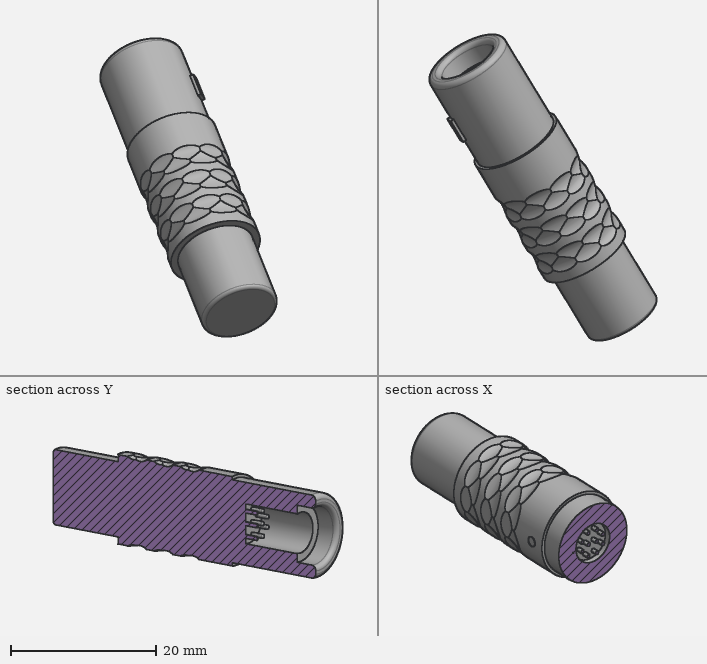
import cadquery as cq
import math

total_length = 45.0
barrel_radius = 6.0
barrel_length = 14.25
barrel_fillet = 0.75
sleeve_radius = 6.45
sleeve_end = 33.9
rear_radius = 5.45
rear_fillet = 0.5

bore_radius = 4.1
bore_fillet = 0.7
bore_depth = 3.2
socket_radius = 2.9
socket_depth = 12.0

pin_radius = 0.3
pin_height = 2.0
pin_tip_fillet = 0.25
pin_ring_count = 8
pin_ring_radius = 1.95
inner_pin_offset = 0.7

key_start = 6.1
key_length = 3.6
key_outer_radius = 6.475
key_angle = 22.5
key_width = 1.5

mark_center = 16.6
mark_radius = 0.73
mark_depth = 0.1

band_count = 3
band_pitch = 4.5
first_band_center = 21.65
row_spacing = 1.0
scallops_per_row = 10
scallop_radius = 2.0
scallop_depth = 0.42
scallop_cutter_length = 6.0


def axial_cylinder(radius, start, length, y=0.0, z=0.0):
    """Cylinder parallel to X, starting at X = start."""
    return cq.Workplane("YZ", origin=(start, y, z)).circle(radius).extrude(length)


def make_body():
    """Barrel, sleeve and rear end as one turned shape."""
    profile = (
        cq.Workplane("XY")
        .moveTo(0, 0)
        .lineTo(0, -(barrel_radius - barrel_fillet))
        .radiusArc((barrel_fillet, -barrel_radius), -barrel_fillet)
        .lineTo(barrel_length, -barrel_radius)
        .lineTo(barrel_length, -sleeve_radius)
        .lineTo(sleeve_end, -sleeve_radius)
        .lineTo(sleeve_end, -rear_radius)
        .lineTo(total_length - rear_fillet, -rear_radius)
        .radiusArc((total_length, -(rear_radius - rear_fillet)), -rear_fillet)
        .lineTo(total_length, 0)
        .close()
    )
    return profile.revolve(360, (0, 0, 0), (1, 0, 0))


def make_bore():
    """Stepped bore whose mouth flares out over a rounded lip."""
    profile = (
        cq.Workplane("XY")
        .moveTo(0, 0)
        .lineTo(0, -(bore_radius + bore_fillet))
        .radiusArc((bore_fillet, -bore_radius), bore_fillet)
        .lineTo(bore_depth, -bore_radius)
        .lineTo(bore_depth, -socket_radius)
        .lineTo(socket_depth, -socket_radius)
        .lineTo(socket_depth, 0)
        .close()
    )
    return profile.revolve(360, (0, 0, 0), (1, 0, 0))


def pin_positions():
    """(Y, Z) centres of the pin ring and of the two inner pins."""
    step = 2 * math.pi / pin_ring_count
    ring = []
    for index in range(pin_ring_count):
        angle = (index + 0.5) * step
        ring.append((pin_ring_radius * math.cos(angle), pin_ring_radius * math.sin(angle)))
    return ring + [(-inner_pin_offset, 0), (inner_pin_offset, 0)]


def make_pins():
    pins = (
        cq.Workplane("YZ", origin=(socket_depth, 0, 0))
        .pushPoints(pin_positions())
        .circle(pin_radius)
        .extrude(-pin_height)
    )
    return pins.faces("<X").edges().fillet(pin_tip_fillet)


def make_keys():
    """Two parallel-sided keys cut from a thin ring, each square to its own radius."""
    ring = axial_cylinder(key_outer_radius, key_start, key_length)
    ring = ring.cut(axial_cylinder(bore_radius + bore_fillet, key_start, key_length))
    slab = cq.Workplane("XY").box(key_length, key_outer_radius, key_width, centered=(False, False, True))
    slab = slab.translate((key_start, 0, 0)).rotate((0, 0, 0), (1, 0, 0), key_angle)
    upper_key = ring.intersect(slab)
    return upper_key.union(upper_key.mirror("XY"))


def make_alignment_mark():
    """Disc to be removed from the sleeve, its flat floor square to Y."""
    mark = cq.Workplane("XZ", origin=(mark_center, sleeve_radius, 0))
    return mark.circle(mark_radius).extrude(mark_depth)


def make_scallop_cutters():
    """Tangential cylinders; the two rows of each band are half a step apart around the axis."""
    step = 360 / scallops_per_row
    axis_distance = sleeve_radius - scallop_depth + scallop_radius
    cutters = []
    for band in range(band_count):
        band_center = first_band_center + band * band_pitch
        for side, phase in ((-1, 0), (1, step / 2)):
            row_x = band_center + side * row_spacing / 2
            cutter = (
                cq.Workplane("XZ", origin=(row_x, scallop_cutter_length / 2, axis_distance))
                .circle(scallop_radius)
                .extrude(scallop_cutter_length)
            )
            for index in range(scallops_per_row):
                angle = phase + index * step
                cutters.append(cutter.rotate((0, 0, 0), (1, 0, 0), angle))
    return cutters


body = make_body()
for scallop_cutter in make_scallop_cutters():
    body = body.cut(scallop_cutter)

result = body.cut(make_alignment_mark()).union(make_keys()).cut(make_bore()).union(make_pins())